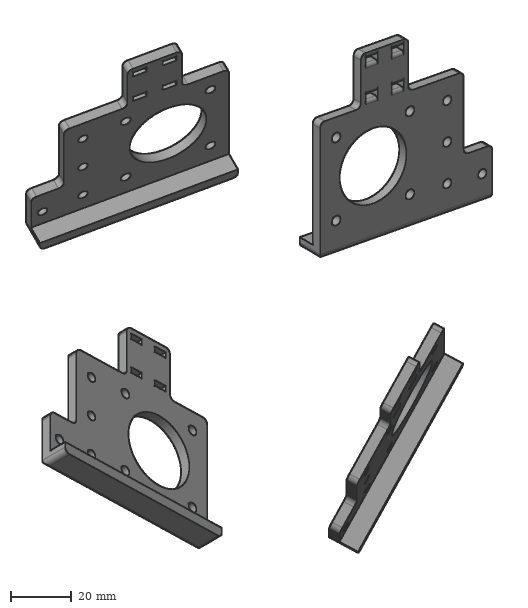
import cadquery as cq

width = 72.3
height = 70.95
thickness = 4.0
foot_reach = 11.0
corner_radius = 2.0
overlap = 0.7

body_height = 51.0
step_width = 12.0
step_height = 20.0
tab_width = 19.95
tab_center_y = 9.05

motor_y = 13.9
motor_z = 27.9
motor_bore = 28.0
motor_screw_spacing = 30.95
motor_screw_diameter = 3.6

side_hole_diameter = 3.5
column_y = -17.2
column_middle_z = 27.0
column_spacing = 15.5
step_hole_y = -32.0
step_hole_z = 10.5

window_width = 5.0
window_height = 4.7
window_spacing_y = 10.9
window_spacing_z = 13.5
window_middle_z = 61.0
window_lip_radius = 1.2


def plate_block(y_low, y_high, block_height):
    """Plate section standing on the ground plane."""
    size_y = y_high - y_low
    return cq.Workplane("XY").box(thickness, size_y, block_height, centered=False).translate((0, y_low, 0))


def make_plate():
    half_width = width / 2
    half_tab = tab_width / 2
    step = plate_block(-half_width, half_width, step_height)
    body = plate_block(step_width - half_width, half_width, body_height)
    tab = plate_block(tab_center_y - half_tab, tab_center_y + half_tab, height)
    return step.union(body).union(tab)


def make_foot():
    return cq.Workplane("XY").box(foot_reach, width, thickness, centered=(False, True, False))


def drill(part, centers, diameter):
    """Cut round holes through the plate at (y, z) centers."""
    cutter = cq.Workplane("YZ", origin=(-overlap, 0, 0)).pushPoints(centers)
    return part.cut(cutter.circle(diameter / 2).extrude(thickness + 2 * overlap))


def make_window():
    """Window cutter at the origin, flared upward and downward at the -X face."""
    half_height = window_height / 2
    throat = half_height - window_lip_radius
    bend = window_lip_radius * (1 - 0.5**0.5)
    return (
        cq.Workplane("XZ")
        .moveTo(0, -half_height)
        .threePointArc((bend, -throat - bend), (window_lip_radius, -throat))
        .lineTo(thickness, -throat)
        .lineTo(thickness, throat)
        .lineTo(window_lip_radius, throat)
        .threePointArc((bend, throat + bend), (0, half_height))
        .close()
        .extrude(window_width / 2, both=True)
    )


result = make_plate().edges("|X").edges("not <Z").fillet(corner_radius)
result = result.union(make_foot()).edges("|X and <Z").fillet(corner_radius)

bend_limit = cq.Workplane("XY").box(foot_reach, width, height, centered=(False, True, False))
result = result.intersect(bend_limit.edges("|Y and <X and <Z").fillet(corner_radius))

result = drill(result, [(motor_y, motor_z)], motor_bore)
half_screws = motor_screw_spacing / 2
motor_screws = [
    (motor_y + side_y * half_screws, motor_z + side_z * half_screws)
    for side_y in (-1, 1)
    for side_z in (-1, 1)
]
result = drill(result, motor_screws, motor_screw_diameter)
side_holes = [(column_y, column_middle_z + row * column_spacing) for row in (-1, 0, 1)]
side_holes.append((step_hole_y, step_hole_z))
result = drill(result, side_holes, side_hole_diameter)

for side_y in (-1, 1):
    for side_z in (-1, 1):
        window_y = tab_center_y + side_y * window_spacing_y / 2
        window_z = window_middle_z + side_z * window_spacing_z / 2
        result = result.cut(make_window().translate((0, window_y, window_z)))